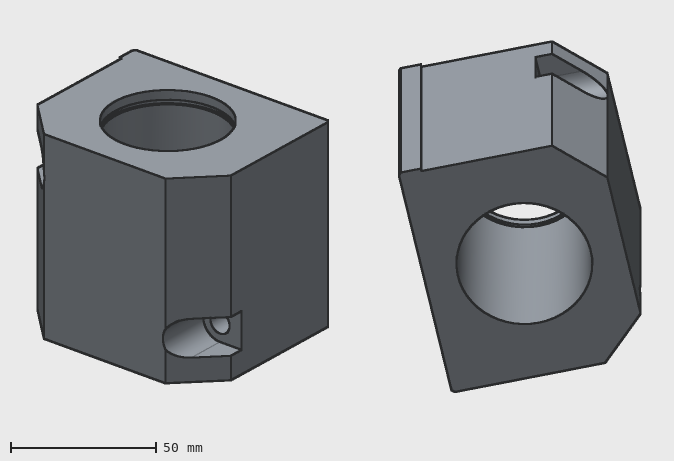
import cadquery as cq

width = 87.0
depth = 70.0
height = 79.0
lip_projection = 1.0
lip_depth = 8.0
front_chamfer = 16.0
back_chamfer = 1.0

bore_radius = 23.4
bore_x = width / 2
bore_y = depth / 2
groove_radius = bore_radius + 1.05
groove_width = 1.8
groove_top_depth = 3.7

bolt_radius = 4.3
seat_radius = 7.5
seat_depth = 21.9
bolt_inset = 9.7
bolt_edge_z = 17.0


def make_block():
    side_x = lip_projection
    lip_front_y = depth - lip_depth
    outline = [
        (side_x + front_chamfer, 0),
        (width - front_chamfer, 0),
        (width, front_chamfer),
        (width, depth - back_chamfer),
        (width - back_chamfer, depth),
        (back_chamfer, depth),
        (0, depth - back_chamfer),
        (0, lip_front_y),
        (side_x, lip_front_y),
        (side_x, front_chamfer),
    ]
    return cq.Workplane("XY").polyline(outline).close().extrude(height)


def vertical_cylinder(radius, bottom_z, length):
    plane = cq.Workplane("XY", origin=(bore_x, bore_y, bottom_z))
    return plane.circle(radius).extrude(length)


def make_bolt_cut(x, z, outward):
    """Through hole plus a seat open to the front and to the outward side (-1 or +1 in X)."""
    front = cq.Workplane("XZ", origin=(x, 0, z))
    hole = front.circle(bolt_radius).extrude(-depth)
    round_end = front.circle(seat_radius).extrude(-seat_depth)
    open_end = (
        front.center(outward * bolt_inset / 2, 0)
        .rect(bolt_inset, 2 * seat_radius)
        .extrude(-seat_depth)
    )
    return hole.union(round_end).union(open_end)


groove_bottom_z = height - groove_top_depth - groove_width

result = (
    make_block()
    .cut(vertical_cylinder(bore_radius, 0, height))
    .cut(vertical_cylinder(groove_radius, groove_bottom_z, groove_width))
    .cut(make_bolt_cut(bolt_inset, height - bolt_edge_z, -1))
    .cut(make_bolt_cut(width - bolt_inset, bolt_edge_z, 1))
)